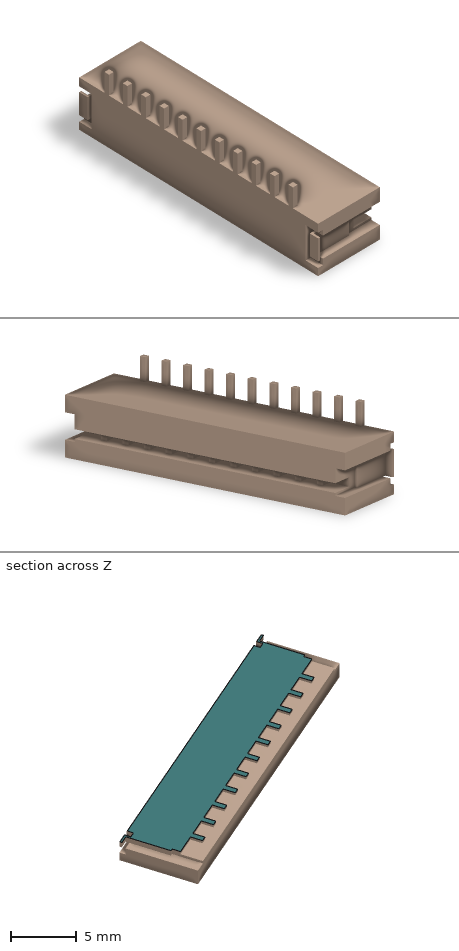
import cadquery as cq

LENGTH = 25.95
DEPTH = 6.6
TOTAL_HEIGHT = 7.0
BODY_HEIGHT = 5.0
HALF_LENGTH = LENGTH / 2

PIN_COUNT = 11
PIN_PITCH = 2.0
PIN_SIZE = 0.5
TIP_END_Y = 5.7

SLOT_FLOOR_Z = 1.63
SLOT_HEIGHT = 0.78
SLOT_START_Y = 4.7

GROOVE_FLOOR_Z = 1.4
GROOVE_HEIGHT = 2.2
GROOVE_DEPTH = 0.9
CLIP_THICKNESS = 0.2
CLIP_LENGTH = 4.0

POCKET_WIDTH = 1.35
POCKET_DEPTH = 0.52
POCKET_FLOOR_Z = 0.78
POCKET_HEIGHT = 3.37


def box(x_start, y_start, z_start, x_size, y_size, z_size):
    """Box given by its lowest corner and its sizes."""
    corner = (x_start, y_start, z_start)
    return cq.Workplane("XY").box(x_size, y_size, z_size, centered=False).translate(corner)


def both_ends(left_shape):
    """Shape at the -X end together with its mirror image at the +X end."""
    return left_shape.union(left_shape.mirror("YZ"))


def housing():
    body = box(-HALF_LENGTH, 0, 0, LENGTH, DEPTH, BODY_HEIGHT)
    groove = box(-HALF_LENGTH, 0, GROOVE_FLOOR_Z, GROOVE_DEPTH, DEPTH, GROOVE_HEIGHT)
    pocket = box(-HALF_LENGTH, 0, POCKET_FLOOR_Z, POCKET_WIDTH, POCKET_DEPTH, POCKET_HEIGHT)
    slot_depth = DEPTH - SLOT_START_Y
    slot = box(-HALF_LENGTH, SLOT_START_Y, SLOT_FLOOR_Z, LENGTH, slot_depth, SLOT_HEIGHT)
    return body.cut(both_ends(groove)).cut(both_ends(pocket)).cut(slot)


def left_clip():
    """L-shaped clip: an arm flat against the groove wall and a front tab bent outward."""
    arm_x = -HALF_LENGTH + GROOVE_DEPTH - CLIP_THICKNESS
    arm = box(arm_x, 0, GROOVE_FLOOR_Z, CLIP_THICKNESS, CLIP_LENGTH, GROOVE_HEIGHT)
    tab = box(-HALF_LENGTH, 0, GROOVE_FLOOR_Z, GROOVE_DEPTH, CLIP_THICKNESS, GROOVE_HEIGHT)
    return arm.union(tab)


def contact(x_center):
    """Upright solder leg at the front and contact tip lying on the slot floor."""
    x_start = x_center - PIN_SIZE / 2
    leg = box(x_start, 0, BODY_HEIGHT, PIN_SIZE, PIN_SIZE, TOTAL_HEIGHT - BODY_HEIGHT)
    tip_length = TIP_END_Y - SLOT_START_Y
    tip = box(x_start, SLOT_START_Y, SLOT_FLOOR_Z, PIN_SIZE, tip_length, PIN_SIZE)
    return leg, tip


result = housing().union(both_ends(left_clip()))
for index in range(PIN_COUNT):
    offset = index - (PIN_COUNT - 1) / 2
    contact_leg, contact_tip = contact(offset * PIN_PITCH)
    result = result.union(contact_leg).union(contact_tip)